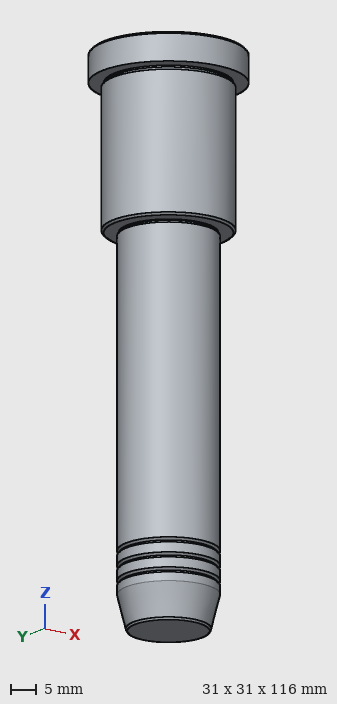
import cadquery as cq
import math

total_length = 116.0

head_diameter = 31.0
head_radius = head_diameter / 2
head_height = 6.0
head_chamfer = 0.5

shoulder_radius = 13.0
shoulder_length = 30.0
shoulder_chamfer = 0.5

head_relief_depth = 0.5
head_relief_land = 0.3
head_relief_run_out = 0.6
shoulder_relief_depth = 0.3
shoulder_relief_land = 0.2
shoulder_relief_run_out = 0.5

shank_radius = 10.0
taper_height = 7.3
taper_angle = 14.0
tip_chamfer_height = 0.5
tip_chamfer_width = 0.29

groove_count = 3
groove_width = 1.0
groove_depth = groove_width / 2
groove_pitch = 3.0
lowest_groove_z = 9.5

head_bottom = total_length - head_height
shoulder_bottom = head_bottom - shoulder_length


def cylinder(radius, bottom, top):
    """Solid cylinder on the Z axis between two levels."""
    return cq.Workplane("XY").workplane(offset=bottom).circle(radius).extrude(top - bottom)


def relief(radius, depth, land, run_out, top):
    """Ring cut with a straight land and a conical run-out back to the surface."""
    land_bottom = top - land
    profile = [
        (radius - depth, top),
        (radius, top),
        (radius, land_bottom - run_out),
        (radius - depth, land_bottom),
    ]
    return cq.Workplane("XZ").polyline(profile).close().revolve(360, (0, 0), (0, 1))


def groove(level):
    """Ring of V section, widest at the shank surface and pointing inward."""
    profile = [
        (shank_radius, level - groove_width / 2),
        (shank_radius, level + groove_width / 2),
        (shank_radius - groove_depth, level),
    ]
    return cq.Workplane("XZ").polyline(profile).close().revolve(360, (0, 0), (0, 1))


def make_shank():
    taper_slope = math.tan(math.radians(taper_angle))
    chamfer_top_radius = shank_radius - (taper_height - tip_chamfer_height) * taper_slope
    profile = [
        (0, 0),
        (chamfer_top_radius - tip_chamfer_width, 0),
        (chamfer_top_radius, tip_chamfer_height),
        (shank_radius, taper_height),
        (shank_radius, shoulder_bottom),
        (0, shoulder_bottom),
    ]
    shank = cq.Workplane("XZ").polyline(profile).close().revolve(360, (0, 0), (0, 1))
    shank = shank.cut(
        relief(
            shank_radius,
            shoulder_relief_depth,
            shoulder_relief_land,
            shoulder_relief_run_out,
            shoulder_bottom,
        )
    )
    for index in range(groove_count):
        shank = shank.cut(groove(lowest_groove_z + index * groove_pitch))
    return shank


def make_shoulder():
    shoulder = cylinder(shoulder_radius, shoulder_bottom, head_bottom)
    shoulder = shoulder.faces("<Z").chamfer(shoulder_chamfer)
    return shoulder.cut(
        relief(
            shoulder_radius,
            head_relief_depth,
            head_relief_land,
            head_relief_run_out,
            head_bottom,
        )
    )


def make_head():
    head = cylinder(head_radius, head_bottom, total_length)
    return head.faces(">Z").chamfer(head_chamfer)


result = make_shank().union(make_shoulder()).union(make_head())